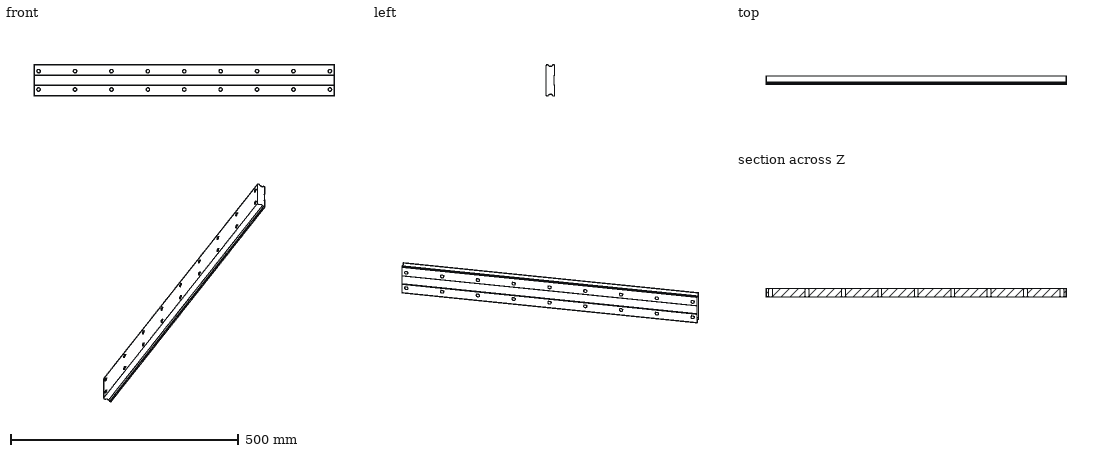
import cadquery as cq
import math

length = 660.0
depth = 19.0
height = 69.0

nose_setback = 3.0
nose_land = 0.5
nose_radius = 1.0
nose_back_angle = 50.0

groove_depth = 3.6
groove_back_angle = 45.0
groove_front_angle = 60.0
groove_fillet = 3.0

flange_width = 4.0
flange_chamfer = 1.0

channel_width = 22.5
channel_depth = 1.0

hole_diameter = 7.0
hole_columns = 9
hole_rows = 2
end_margin = 10.0
row_spacing = 40.0

front = -depth / 2
back = depth / 2
top = height / 2


def arc_point(center, radius, degrees):
    """Point on a circle in the Y-Z plane, with the angle measured from +Z toward +Y."""
    angle = math.radians(degrees)
    return (center[0] + radius * math.sin(angle), center[1] + radius * math.cos(angle))


def half_rail():
    """Upper half of the rail, from the middle plane up to the grooved edge."""
    arc_z = top - nose_radius
    nose_middle = back - nose_setback
    back_center = (nose_middle + nose_land / 2, arc_z)
    front_center = (nose_middle - nose_land / 2, arc_z)
    nose_start = arc_point(back_center, nose_radius, nose_back_angle)
    back_arc_middle = arc_point(back_center, nose_radius, nose_back_angle / 2)
    front_arc_middle = arc_point(front_center, nose_radius, -groove_back_angle / 2)
    nose_end = arc_point(front_center, nose_radius, -groove_back_angle)
    back_corner_z = nose_start[1] - (back - nose_start[0]) * math.tan(math.radians(nose_back_angle))

    floor_z = top - groove_depth
    fillet_rise = groove_fillet * (1 - math.cos(math.radians(groove_back_angle)))
    fillet_start_z = floor_z + fillet_rise
    wall_run = (nose_end[1] - fillet_start_z) / math.tan(math.radians(groove_back_angle))
    fillet_start_y = nose_end[0] - wall_run
    fillet_run = groove_fillet * math.sin(math.radians(groove_back_angle))
    fillet_center = (fillet_start_y - fillet_run, floor_z + groove_fillet)
    fillet_middle = arc_point(fillet_center, groove_fillet, 180 - groove_back_angle / 2)
    fillet_end = (fillet_center[0], floor_z)

    flange_back = front + flange_width
    front_wall_run = groove_depth / math.tan(math.radians(groove_front_angle))
    channel_mouth_z = channel_width / 2
    channel_floor_y = front + channel_depth

    return (
        cq.Workplane("YZ")
        .moveTo(back, 0)
        .lineTo(back, back_corner_z)
        .lineTo(*nose_start)
        .threePointArc(back_arc_middle, (back_center[0], top))
        .lineTo(front_center[0], top)
        .threePointArc(front_arc_middle, nose_end)
        .lineTo(fillet_start_y, fillet_start_z)
        .threePointArc(fillet_middle, fillet_end)
        .lineTo(flange_back + front_wall_run, floor_z)
        .lineTo(flange_back, top)
        .lineTo(front + flange_chamfer, top)
        .lineTo(front, top - flange_chamfer)
        .lineTo(front, channel_mouth_z)
        .lineTo(channel_floor_y, channel_mouth_z - channel_depth)
        .lineTo(channel_floor_y, 0)
        .close()
        .extrude(length / 2, both=True)
    )


def mounting_holes():
    """Two rows of evenly spaced holes through the depth of the rail."""
    pitch = (length - 2 * end_margin) / (hole_columns - 1)
    return (
        cq.Workplane("XZ")
        .rarray(pitch, row_spacing, hole_columns, hole_rows)
        .circle(hole_diameter / 2)
        .extrude(depth, both=True)
    )


upper_half = half_rail()
rail = upper_half.union(upper_half.mirror("XY")).clean()
result = rail.cut(mounting_holes())